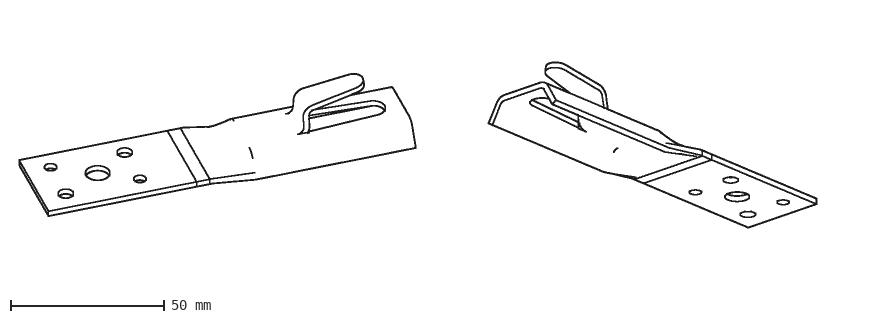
import cadquery as cq
import math

thickness = 2.0
plate_width = 30.0
overall_length = 126.52
plate_length = 51.0
strip_length = 4.52
neck_length = 1.0
transition_length = 15.0

strip_start = plate_length
neck_start = strip_start + strip_length
transition_start = neck_start + neck_length
channel_start = transition_start + transition_length
channel_length = overall_length - channel_start

small_hole = 4.0
medium_hole = 5.0
large_hole = 8.0
hole_left_x = -8.0
hole_right_x = 7.5
hole_near_y = 8.5
hole_far_y = 34.0
large_hole_y = 22.0
plate_holes = [
    (hole_left_x, hole_near_y, small_hole),
    (hole_right_x, hole_near_y, medium_hole),
    (hole_left_x, hole_far_y, medium_hole),
    (hole_right_x, hole_far_y, small_hole),
    (0, large_hole_y, large_hole),
]

wall_angle = math.radians(60)
channel_top = 6.13
top_half_width = 7.84
outer_radius = 4.0
inner_radius = outer_radius - thickness
wall_length = 7.1

wall_edge_height = 2.37
wall_end_width = 1.7

hook_root_y = 88.75
hook_root_half = 6.0
lower_bend_radius = 2.3
upper_bend_radius = 2.0
leg_height = 5.86
blade_angle = math.radians(10)
blade_length = 19.1
blade_tip_radius = 3.9
blade_taper = math.radians(4)
blade_tip_centre = blade_length - blade_tip_radius
hook_clearance_width = 40.0

notch_length = 4.0
slot_tip_y = 120.8
slot_tip_radius = 4.0
slot_taper = math.radians(3.8)


def taper_half_width(tip_radius, taper, distance):
    """Half width of a round-tipped taper at a distance behind the centre of its tip."""
    return tip_radius / math.cos(taper) + distance * math.tan(taper)


def round_tipped_taper(plane, start, tip_centre, tip_radius, taper):
    """Outline along the plane's local Y: straight tapering sides tangent to a round tip."""
    start_half = taper_half_width(tip_radius, taper, tip_centre - start)
    tangent_x = tip_radius * math.cos(taper)
    tangent_y = tip_centre + tip_radius * math.sin(taper)
    return (
        cq.Workplane(plane)
        .moveTo(-start_half, start)
        .lineTo(start_half, start)
        .lineTo(tangent_x, tangent_y)
        .threePointArc((0, tip_centre + tip_radius), (-tangent_x, tangent_y))
        .close()
    )


def cross_section_plane(y):
    """XZ plane at the given Y, with its normal along +Y and its local X along -X."""
    return cq.Plane(origin=(0, y, 0), xDir=(-1, 0, 0), normal=(0, 1, 0))


def flat_bar(start, length):
    """Flat piece of the strap, full width and one sheet thick."""
    return cq.Workplane("XY").box(plate_width, length, thickness, centered=(True, False, False)).translate(
        (0, start, 0)
    )


def mirrored(point):
    """Point on the opposite side of the channel's middle plane."""
    return -point[0], point[1]


def bend_point(radius, angle):
    """Point on the right-hand channel bend, at an angle from the flat top."""
    centre_z = channel_top - outer_radius
    return top_half_width + radius * math.sin(angle), centre_z + radius * math.cos(angle)


def wall_point(radius, distance):
    """Point on a face of the right-hand wall, at a distance down the wall from its bend."""
    x, z = bend_point(radius, wall_angle)
    return x + distance * math.cos(wall_angle), z - distance * math.sin(wall_angle)


def channel_section(y):
    """Closed cross section of the flared channel."""
    outer = [bend_point(outer_radius, a) for a in (0, wall_angle / 2, wall_angle)]
    inner = [bend_point(inner_radius, a) for a in (0, wall_angle / 2, wall_angle)]
    outer_end = wall_point(outer_radius, wall_length)
    inner_end = wall_point(inner_radius, wall_length)
    return (
        cq.Workplane(cross_section_plane(y))
        .moveTo(*mirrored(outer[0]))
        .lineTo(*outer[0])
        .threePointArc(outer[1], outer[2])
        .lineTo(*outer_end)
        .lineTo(*inner_end)
        .lineTo(*inner[2])
        .threePointArc(inner[1], inner[0])
        .lineTo(*mirrored(inner[0]))
        .threePointArc(mirrored(inner[1]), mirrored(inner[2]))
        .lineTo(*mirrored(inner_end))
        .lineTo(*mirrored(outer_end))
        .lineTo(*mirrored(outer[2]))
        .threePointArc(mirrored(outer[1]), mirrored(outer[0]))
        .close()
    )


def channel_face_curve(radius, distance):
    """Points and tangents, left to right, of one smooth curve over a face of the channel.

    It runs from the given distance down the left wall to the same distance down the right wall.
    """
    angles = [0, wall_angle]
    right = [bend_point(radius, a) for a in angles] + [wall_point(radius, distance)]
    right_tangents = [(math.cos(a), -math.sin(a)) for a in angles + [wall_angle]]
    left = [mirrored(point) for point in reversed(right)]
    left_tangents = [(x, -z) for x, z in reversed(right_tangents)]
    return left + right, left_tangents + right_tangents


def make_transition():
    """Six-sided blend: the strap's edges grow into the lower part of the channel walls."""
    half = plate_width / 2
    flat = (
        cq.Workplane(cross_section_plane(transition_start))
        .moveTo(-half, thickness)
        .lineTo(half, thickness)
        .lineTo(half, 0)
        .lineTo(half - wall_end_width, 0)
        .lineTo(wall_end_width - half, 0)
        .lineTo(-half, 0)
        .close()
    )
    top_points, top_tangents = channel_face_curve(outer_radius, wall_length - wall_edge_height)
    under_points, under_tangents = channel_face_curve(inner_radius, wall_length)
    outer_end = wall_point(outer_radius, wall_length)
    flared = (
        cq.Workplane(cross_section_plane(channel_start))
        .moveTo(*top_points[0])
        .spline(top_points[1:], tangents=top_tangents, includeCurrent=True)
        .lineTo(*outer_end)
        .lineTo(*under_points[-1])
        .spline(
            under_points[-2::-1],
            tangents=[(-x, -z) for x, z in reversed(under_tangents)],
            includeCurrent=True,
        )
        .lineTo(*mirrored(outer_end))
        .close()
    )
    wires = [flat.wire().val(), flared.wire().val()]
    return cq.Workplane(cq.Solid.makeLoft(wires, True))


def make_slot():
    """Opening in the channel top: a rectangular notch at the hook root and a round-tipped taper."""
    notch = cq.Workplane("XY").box(
        2 * hook_root_half, notch_length, channel_top, centered=(True, False, False)
    ).translate((0, hook_root_y, 0))
    taper = round_tipped_taper(
        "XY", hook_root_y + notch_length, slot_tip_y - slot_tip_radius, slot_tip_radius, slot_taper
    ).extrude(channel_top)
    return notch.union(taper)


def make_hook():
    """Lower bend, tapering leg, upper bend and inclined round-tipped blade."""
    lower_outer = lower_bend_radius + thickness
    upper_outer = upper_bend_radius + thickness
    lower_centre_z = channel_top + lower_bend_radius
    leg_front = hook_root_y + lower_bend_radius
    leg_back = leg_front + thickness
    leg_top = channel_top + leg_height
    upper_centre_y = leg_front + upper_outer
    turn = math.pi / 2 - blade_angle

    def lower_point(radius, angle):
        return hook_root_y + radius * math.sin(angle), lower_centre_z - radius * math.cos(angle)

    def upper_point(radius, angle):
        return upper_centre_y - radius * math.cos(angle), leg_top + radius * math.sin(angle)

    quarter = math.pi / 2
    blank = (
        cq.Workplane("YZ")
        .moveTo(*lower_point(lower_bend_radius, 0))
        .threePointArc(lower_point(lower_bend_radius, quarter / 2), (leg_front, lower_centre_z))
        .lineTo(leg_front, leg_top)
        .threePointArc(upper_point(upper_outer, turn / 2), upper_point(upper_outer, turn))
        .lineTo(*upper_point(upper_bend_radius, turn))
        .threePointArc(upper_point(upper_bend_radius, turn / 2), (leg_back, leg_top))
        .lineTo(leg_back, lower_centre_z)
        .threePointArc(lower_point(lower_outer, quarter / 2), lower_point(lower_outer, 0))
        .close()
        .extrude(hook_clearance_width / 2, both=True)
    )

    blade_root_half = taper_half_width(blade_tip_radius, blade_taper, blade_tip_centre)
    hook_top = leg_top + upper_outer
    front_outline = (
        cq.Workplane(cross_section_plane(hook_root_y))
        .moveTo(-hook_root_half, 0)
        .lineTo(hook_root_half, 0)
        .lineTo(hook_root_half, channel_top)
        .lineTo(blade_root_half, leg_top)
        .lineTo(blade_root_half, hook_top)
        .lineTo(-blade_root_half, hook_top)
        .lineTo(-blade_root_half, leg_top)
        .lineTo(-hook_root_half, channel_top)
        .close()
        .extrude(upper_outer + lower_outer)
    )

    blade_y, blade_z = upper_point(upper_outer, turn)
    blade_plane = cq.Plane(
        origin=(0, blade_y, blade_z),
        xDir=(1, 0, 0),
        normal=(0, -math.sin(blade_angle), math.cos(blade_angle)),
    )
    blade = round_tipped_taper(blade_plane, 0, blade_tip_centre, blade_tip_radius, blade_taper).extrude(
        -thickness
    )
    return blank.intersect(front_outline).union(blade)


def make_hanger():
    """Neck, transition and slotted channel with its hook, as one piece."""
    channel = channel_section(channel_start).extrude(channel_length).cut(make_slot())
    neck = flat_bar(neck_start, neck_length)
    return channel.union(make_hook()).union(make_transition()).union(neck)


def make_plate():
    """Flat mounting plate with its five round holes."""
    plate = flat_bar(0, plate_length)
    for x, y, diameter in plate_holes:
        plate = plate.cut(cq.Workplane("XY").center(x, y).circle(diameter / 2).extrude(thickness))
    return plate


hanger = make_hanger()
strip = flat_bar(strip_start, strip_length)
plate = make_plate()

result = cq.Compound.makeCompound([hanger.val(), strip.val(), plate.val()])